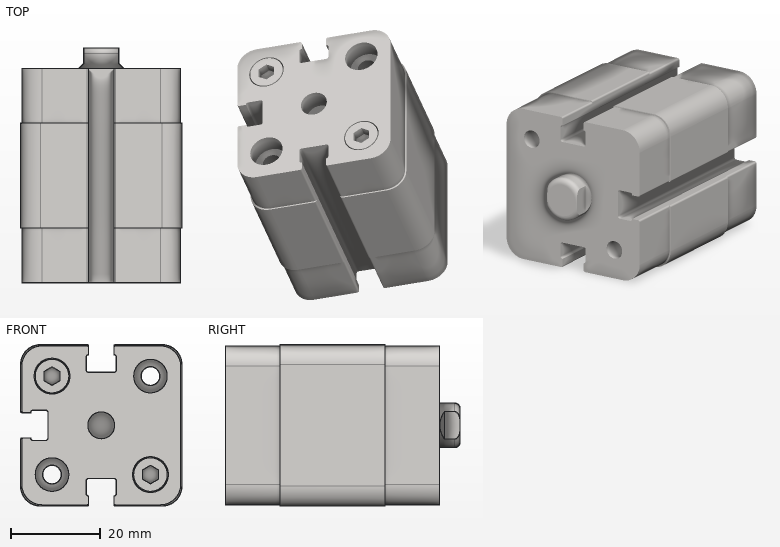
import cadquery as cq
import math


body_length = 47.9
cap_length = 12.2
cap_width = 35.5
barrel_width = 36.1
barrel_length = body_length - 2 * cap_length
corner_radius = 4.5

slot_mouth_width = 5.6
slot_inner_width = 6.7
slot_floor_offset = 11.9
slot_lip_offset = 15.75
slot_corner_radius = 0.5
slot_mouth_radius = 0.4
slot_angles = (0, 90, 180)

bolt_offset = 11.0
through_hole_diameter = 4.13
counterbore_diameter = 7.5
counterbore_depth = 4.5
screw_recess_diameter = 8.0
screw_head_diameter = 7.5
screw_head_height = 4.0
hex_across_corners = 4.13
hex_depth = 2.3
hex_turn = 30
hole_positions = [(-bolt_offset, -bolt_offset), (bolt_offset, bolt_offset)]
screw_positions = [(-bolt_offset, bolt_offset), (bolt_offset, -bolt_offset)]

center_hole_diameter = 6.0
center_hole_depth = 5.0

rod_diameter = 10.0
rod_projection = 4.6
rod_end_radius = 1.3
rod_flat_width = 7.9
rod_flat_start = 1.1


def plane_at(y):
    """Sketch plane across the axis; local x is -X, local y is Z, normal is +Y."""
    return cq.Workplane(cq.Plane(origin=(0, y, 0), xDir=(-1, 0, 0), normal=(0, 1, 0)))


def cylinders(positions, diameter, depth):
    """Cylinders along +Y that start on the screw face, placed at (X, Z)."""
    mirrored = [(-x, z) for x, z in positions]
    return plane_at(0).pushPoints(mirrored).circle(diameter / 2).extrude(depth)


def t_slot(width, start, length):
    """Cutter for one T-slot in the +Z side of a square section of the given width."""
    face = width / 2
    mouth = slot_mouth_width / 2
    chamber_height = slot_lip_offset - slot_floor_offset
    chamber_middle = slot_floor_offset + chamber_height / 2
    chamber = (
        plane_at(start)
        .center(0, chamber_middle)
        .rect(slot_inner_width, chamber_height)
        .extrude(length)
        .edges("|Y")
        .fillet(slot_corner_radius)
    )
    flare = slot_mouth_radius
    arc_mid = flare * (1 - math.sqrt(0.5))
    mouth_cut = (
        plane_at(start)
        .moveTo(-mouth, chamber_middle)
        .lineTo(mouth, chamber_middle)
        .lineTo(mouth, face - flare)
        .threePointArc((mouth + arc_mid, face - arc_mid), (mouth + flare, face))
        .lineTo(-mouth - flare, face)
        .threePointArc((-mouth - arc_mid, face - arc_mid), (-mouth, face - flare))
        .close()
        .extrude(length)
    )
    return chamber.union(mouth_cut)


def section(width, start, length):
    """One slotted, round-cornered length of the body."""
    block = (
        plane_at(start)
        .rect(width, width)
        .extrude(length)
        .edges("|Y")
        .fillet(corner_radius)
    )
    cutter = t_slot(width, start, length)
    for angle in slot_angles:
        block = block.cut(cutter.rotate((0, 0, 0), (0, 1, 0), -angle))
    return block


def make_body():
    screw_cap = section(cap_width, 0, cap_length)
    barrel = section(barrel_width, cap_length, barrel_length)
    rod_cap = section(cap_width, cap_length + barrel_length, cap_length)
    return screw_cap.union(barrel).union(rod_cap)


def cut_holes(body):
    """Counterbored through holes and the central blind hole."""
    body = body.cut(cylinders(hole_positions, through_hole_diameter, body_length))
    body = body.cut(cylinders(hole_positions, counterbore_diameter, counterbore_depth))
    return body.cut(cylinders([(0, 0)], center_hole_diameter, center_hole_depth))


def add_screws(body):
    """Socket screw heads, flush with the screw face and standing in recesses."""
    recess = cylinders(screw_positions, screw_recess_diameter, screw_head_height)
    heads = cylinders(screw_positions, screw_head_diameter, screw_head_height)
    body = body.cut(recess).union(heads)
    for x, z in screw_positions:
        socket = (
            plane_at(0)
            .polygon(6, hex_across_corners)
            .extrude(hex_depth)
            .rotate((0, 0, 0), (0, 1, 0), hex_turn)
            .translate((x, 0, z))
        )
        body = body.cut(socket)
    return body


def make_rod():
    """Rounded rod end with two wrench flats that run out at 45 degrees."""
    rod = (
        plane_at(body_length)
        .circle(rod_diameter / 2)
        .extrude(rod_projection)
        .faces(">Y")
        .edges()
        .fillet(rod_end_radius)
    )
    flat = rod_flat_width / 2
    run_out = rod_diameter / 2 - flat
    flat_y = body_length + rod_flat_start
    end_y = body_length + rod_projection
    flat_cut = (
        cq.Workplane("XY")
        .moveTo(flat, end_y)
        .lineTo(flat, flat_y)
        .lineTo(flat + run_out, flat_y - run_out)
        .lineTo(flat + run_out, end_y)
        .close()
        .extrude(rod_diameter / 2, both=True)
    )
    return rod.cut(flat_cut).cut(flat_cut.mirror("YZ"))


result = add_screws(cut_holes(make_body())).union(make_rod())